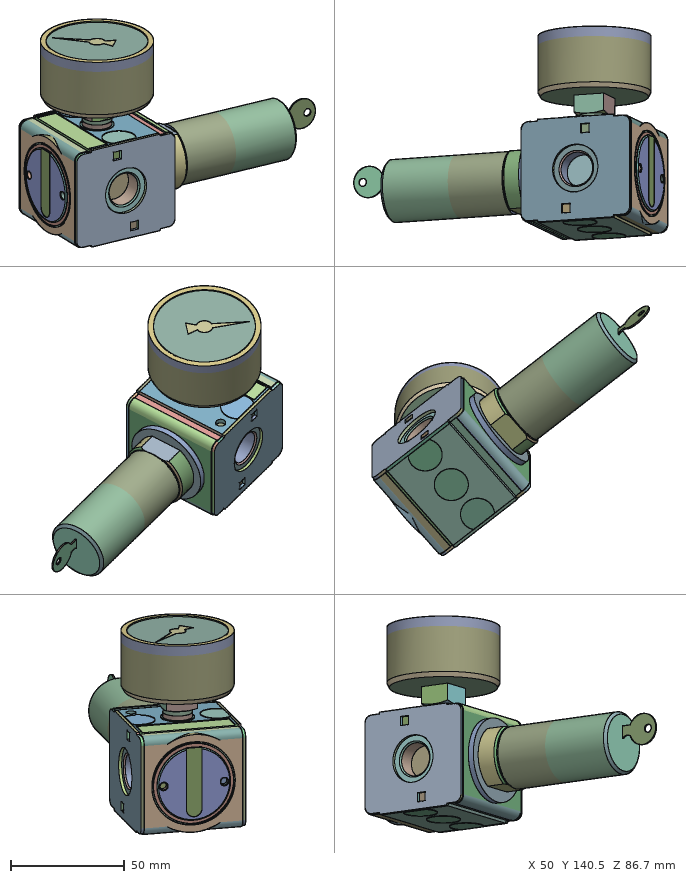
import cadquery as cq
import math


CORE_HALF_X = 22.6
CORE_HALF_Y = 26.0
CORE_HALF_Z = 22.6
CORE_FILLET = 3.7
SADDLE_HALF_Y = 17.7
SADDLE_HALF_Z = 23.2
SADDLE_SLOPE_RUN = 0.4
SADDLE_ROOT_Y = SADDLE_HALF_Y + SADDLE_SLOPE_RUN
STRIP_HALF_Z = 21.9
REAR_STRIP_END_Y = 21.6
FRONT_STRIP_END_Y = -19.1
PAD_DIAMETER = 15.0
PAD_HALF_Z = 23.5
PAD_SPACING = 18.1
LABEL_HALF_X = 21.4
LABEL_START_Y = -8.0
LABEL_DEPTH = 0.4
VENT_DIAMETER = 4.4
VENT_X = -17.8
VENT_Y = 12.4
VENT_DEPTH = 2.2
DRILL_POINT_ANGLE = 90

PLATE_THICKNESS = 1.4
PLATE_INSET = 0.4
PLATE_OUTER_X = CORE_HALF_X + PLATE_THICKNESS
PLATE_EDGE_HALF_Z = 22.2
PLATE_HALF_Z = 23.0
PORT_RING_DIAMETER = 21.4
PORT_RING_DEPTH = PLATE_THICKNESS
PORT_DIAMETER = 14.9
PORT_CHAMFER = 0.7
PORT_DEPTH = 9.8
SOCKET_SIZE = 4.1
SOCKET_DEPTH = PLATE_THICKNESS
SOCKET_Y = 4.5
SOCKET_Z = 17.7

FRONT_BOSS_RADIUS = 22.5
FRONT_BOSS_LENGTH = 8.5
GROOVE_OUTER_DIAMETER = 38.2
GROOVE_INNER_DIAMETER = 36.8
GROOVE_DEPTH = 0.7
KNOB_DIAMETER = 33.7
KNOB_FACE_Y = -26.8
KNOB_BEVEL_WIDTH = 0.5
KNOB_BEVEL_DEPTH = 0.5
GRIP_FACE_Y = -27.0
GRIP_WIDTH = 7.2
GRIP_TOP_Z = 16.7
GRIP_BOTTOM_Z = -15.0
PIN_HOLE_DIAMETER = 3.2
PIN_HOLE_RIM_DIAMETER = 4.0
PIN_HOLE_X = 13.9
PIN_HOLE_DEPTH = 2.1

FLANGE_DIAMETER = 37.7
FLANGE_END_Y = 28.7
NUT_DIAMETER = 30.0
NUT_ACROSS_FLATS = 26.0
NUT_END_Y = 38.0
NUT_CHAMFER = 0.8
BARREL_NECK_DIAMETER = 26.0
BARREL_START_Y = 38.4
BARREL_DIAMETER = 28.0
BARREL_SEAM_Y = 63.8
BARREL_END_Y = 96.0
BARREL_CHAMFER = 1.3

KEY_X = 0.3
KEY_THICKNESS = 0.7
KEY_END_Y = 113.5
KEY_HEAD_DIAMETER = 14.0
KEY_HEAD_Y = KEY_END_Y - KEY_HEAD_DIAMETER / 2
KEY_HEAD_Z = 4.9
KEY_HOLE_DIAMETER = 3.5
KEY_HOLE_Y = 109.3
NECK_TOP_Z = 7.6
NECK_HEAD_Y = 99.8
NECK_SHOULDER = 1.1
NECK_WAIST_Y = 98.6
NECK_WAIST_Z = 3.1
NECK_ROOT_Z = 1.8
NECK_ARC_START_Y = 100.5
NECK_ARC_START_Z = 2.1

GAUGE_DIAMETER = 50.0
GAUGE_TOP_Z = 63.2
BEZEL_SEAM_Z = 58.6
GAUGE_BOTTOM_Z = 36.1
GAUGE_BEVEL_HEIGHT = 2.1
GAUGE_BEVEL_WIDTH = 1.1
DIAL_DIAMETER = 45.0
DIAL_DEPTH = 0.5
STEM_SQUARE = 14.0
STEM_SQUARE_BOTTOM_Z = 27.7
STEM_CONE_DIAMETER = 14.6
STEM_CORNER_RISE = 0.8
STEM_DIAMETER = 13.0
COLLAR_DIAMETER = 13.2
COLLAR_TOP_Z = 25.6
POINTER_HEIGHT = 0.1
POINTER_ANGLE = 45
POINTER_HUB_DIAMETER = 7.3
POINTER_TIP = 20.2
NEEDLE_ROOT = 3.1
NEEDLE_ROOT_HALF = 1.33
TAIL_ROOT = 2.8
TAIL_ROOT_HALF = 1.3
TAIL_END = 7.9
TAIL_END_HALF = 3.5


def box(x0, x1, y0, y1, z0, z1):
    """Box between the given limits."""
    return cq.Workplane("XY").box(x1 - x0, y1 - y0, z1 - z0, centered=False).translate((x0, y0, z0))


def y_cylinder(diameter, y0, y1):
    """Cylinder on the lock axis from y0 to y1."""
    return cq.Workplane("XZ", origin=(0, y0, 0)).circle(diameter / 2).extrude(y0 - y1)


def z_cylinder(diameter, z0, z1):
    """Cylinder on the gauge axis from z0 to z1."""
    return cq.Workplane("XY", origin=(0, 0, z0)).circle(diameter / 2).extrude(z1 - z0)


def saddle(half_z, root_half_z, length):
    """Middle band with sloping front and rear edges, centred and running along X."""
    return (
        cq.Workplane("YZ", origin=(-length / 2, 0, 0))
        .moveTo(-SADDLE_HALF_Y, half_z)
        .lineTo(SADDLE_HALF_Y, half_z)
        .lineTo(SADDLE_ROOT_Y, root_half_z)
        .lineTo(SADDLE_ROOT_Y, -root_half_z)
        .lineTo(SADDLE_HALF_Y, -half_z)
        .lineTo(-SADDLE_HALF_Y, -half_z)
        .lineTo(-SADDLE_ROOT_Y, -root_half_z)
        .lineTo(-SADDLE_ROOT_Y, root_half_z)
        .close()
        .extrude(length)
    )


def housing_core():
    """Rounded block with a round front boss, low strips and the raised saddle."""
    half_y = CORE_HALF_Y
    half_x = CORE_HALF_X
    core = cq.Workplane("XY").box(2 * half_x, 2 * half_y, 2 * CORE_HALF_Z).edges("|X").fillet(CORE_FILLET)
    core = core.union(y_cylinder(2 * FRONT_BOSS_RADIUS, -half_y, -half_y + FRONT_BOSS_LENGTH))
    strips = ((SADDLE_HALF_Y, REAR_STRIP_END_Y), (FRONT_STRIP_END_Y, -SADDLE_HALF_Y))
    for y0, y1 in strips:
        core = core.cut(box(-half_x, half_x, y0, y1, STRIP_HALF_Z, PAD_HALF_Z))
        core = core.cut(box(-half_x, half_x, y0, y1, -PAD_HALF_Z, -STRIP_HALF_Z))
    middle = saddle(SADDLE_HALF_Z, STRIP_HALF_Z, 2 * half_x)
    label_floor_z = SADDLE_HALF_Z - LABEL_DEPTH
    label_step = box(-LABEL_HALF_X, LABEL_HALF_X, -SADDLE_ROOT_Y, LABEL_START_Y, label_floor_z, SADDLE_HALF_Z)
    return core.union(middle).cut(label_step)


def round_pads():
    """Pads on the top and bottom; the outer ones are cut off at the end plates."""
    pads = (
        cq.Workplane("XY", origin=(0, 0, -PAD_HALF_Z))
        .pushPoints([(-PAD_SPACING, 0), (0, 0), (PAD_SPACING, 0)])
        .circle(PAD_DIAMETER / 2)
        .extrude(2 * PAD_HALF_Z)
    )
    return pads.intersect(cq.Workplane("XY").box(2 * CORE_HALF_X, 2 * CORE_HALF_Y, 2 * PAD_HALF_Z))


def end_plate(side):
    """Plate with rounded corners and a raised middle, on the -X (side -1) or +X (side 1) end."""
    half_y = CORE_HALF_Y - PLATE_INSET
    x_middle = side * (CORE_HALF_X + PLATE_THICKNESS / 2)
    plate = cq.Workplane("XY").box(PLATE_THICKNESS, 2 * half_y, 2 * PLATE_EDGE_HALF_Z)
    plate = plate.edges("|X").fillet(CORE_FILLET - PLATE_INSET)
    middle = saddle(PLATE_HALF_Z, PLATE_EDGE_HALF_Z, PLATE_THICKNESS)
    return plate.union(middle).translate((x_middle, 0, 0))


def port_cutter(side):
    """Ring recess, chamfered blind bore and two square sockets in one end plate."""
    ring_floor = PLATE_OUTER_X - PORT_RING_DEPTH
    bore_radius = PORT_DIAMETER / 2
    ring_radius = PORT_RING_DIAMETER / 2
    bore = (
        cq.Workplane("XY")
        .moveTo(PLATE_OUTER_X - PORT_DEPTH, 0)
        .lineTo(PLATE_OUTER_X - PORT_DEPTH, bore_radius)
        .lineTo(ring_floor - PORT_CHAMFER, bore_radius)
        .lineTo(ring_floor, bore_radius + PORT_CHAMFER)
        .lineTo(ring_floor, ring_radius)
        .lineTo(PLATE_OUTER_X, ring_radius)
        .lineTo(PLATE_OUTER_X, 0)
        .close()
        .revolve(360, (0, 0, 0), (1, 0, 0))
    )
    sockets = (
        cq.Workplane("YZ", origin=(PLATE_OUTER_X - SOCKET_DEPTH, 0, 0))
        .pushPoints([(-SOCKET_Y, SOCKET_Z), (SOCKET_Y, -SOCKET_Z)])
        .rect(SOCKET_SIZE, SOCKET_SIZE)
        .extrude(SOCKET_DEPTH)
    )
    cutter = bore.union(sockets)
    return cutter if side > 0 else cutter.mirror("YZ")


def vent_cutter():
    """Small blind hole in the top with a conical drill point."""
    radius = VENT_DIAMETER / 2
    floor_z = SADDLE_HALF_Z - VENT_DEPTH
    tip_z = floor_z - radius / math.tan(math.radians(DRILL_POINT_ANGLE / 2))
    return (
        cq.Workplane("XZ")
        .polyline([(0, tip_z), (radius, floor_z), (radius, SADDLE_HALF_Z), (0, SADDLE_HALF_Z)])
        .close()
        .revolve(360, (0, 0, 0), (0, 1, 0))
        .translate((VENT_X, VENT_Y, 0))
    )


def front_groove():
    """Thin ring cut into the front face around the knob."""
    groove_end = -CORE_HALF_Y + GROOVE_DEPTH
    outer = y_cylinder(GROOVE_OUTER_DIAMETER, -CORE_HALF_Y, groove_end)
    return outer.cut(y_cylinder(GROOVE_INNER_DIAMETER, -CORE_HALF_Y, groove_end))


def knob():
    """Round knob with a slightly raised grip bar."""
    radius = KNOB_DIAMETER / 2
    disc = (
        cq.Workplane("XY")
        .moveTo(0, -CORE_HALF_Y)
        .lineTo(radius, -CORE_HALF_Y)
        .lineTo(radius, KNOB_FACE_Y + KNOB_BEVEL_DEPTH)
        .lineTo(radius - KNOB_BEVEL_WIDTH, KNOB_FACE_Y)
        .lineTo(0, KNOB_FACE_Y)
        .close()
        .revolve(360, (0, 0, 0), (0, 1, 0))
    )
    half_width = GRIP_WIDTH / 2
    grip = (
        cq.Workplane("XZ", origin=(0, GRIP_FACE_Y, 0))
        .moveTo(-half_width, GRIP_TOP_Z)
        .lineTo(half_width, GRIP_TOP_Z)
        .lineTo(half_width, GRIP_BOTTOM_Z + half_width)
        .threePointArc((0, GRIP_BOTTOM_Z), (-half_width, GRIP_BOTTOM_Z + half_width))
        .close()
        .extrude(GRIP_FACE_Y + CORE_HALF_Y)
    )
    return disc.union(grip)


def pin_hole_cutter(x):
    """Blind hole in the knob face with a 45 degree countersink."""
    radius = PIN_HOLE_DIAMETER / 2
    rim_radius = PIN_HOLE_RIM_DIAMETER / 2
    floor_y = KNOB_FACE_Y + PIN_HOLE_DEPTH
    return (
        cq.Workplane("XY")
        .moveTo(0, KNOB_FACE_Y)
        .lineTo(rim_radius, KNOB_FACE_Y)
        .lineTo(radius, KNOB_FACE_Y + rim_radius - radius)
        .lineTo(radius, floor_y)
        .lineTo(0, floor_y)
        .close()
        .revolve(360, (0, 0, 0), (0, 1, 0))
        .translate((x, 0, 0))
    )


def lock_nut():
    """Round nut with flats on its top and bottom and a chamfered rear rim."""
    nut = y_cylinder(NUT_DIAMETER, FLANGE_END_Y, NUT_END_Y).faces(">Y").chamfer(NUT_CHAMFER)
    half_flats = NUT_ACROSS_FLATS / 2
    flats = box(-NUT_DIAMETER, NUT_DIAMETER, FLANGE_END_Y, NUT_END_Y, -half_flats, half_flats)
    return nut.intersect(flats)


def key():
    """Flat key standing in the end of the lock barrel."""
    left = KEY_X - KEY_THICKNESS / 2
    head = (
        cq.Workplane("YZ", origin=(left, 0, 0))
        .center(KEY_HEAD_Y, KEY_HEAD_Z)
        .circle(KEY_HEAD_DIAMETER / 2)
        .extrude(KEY_THICKNESS)
    )
    neck = (
        cq.Workplane("YZ", origin=(left, 0, 0))
        .moveTo(BARREL_END_Y, NECK_TOP_Z)
        .lineTo(NECK_HEAD_Y, NECK_TOP_Z)
        .lineTo(NECK_HEAD_Y + NECK_SHOULDER, NECK_TOP_Z + NECK_SHOULDER)
        .lineTo(KEY_HEAD_Y, KEY_HEAD_Z)
        .lineTo(NECK_ARC_START_Y, NECK_ARC_START_Z)
        .threePointArc((NECK_WAIST_Y, NECK_WAIST_Z), (BARREL_END_Y, NECK_ROOT_Z))
        .close()
        .extrude(KEY_THICKNESS)
    )
    hole = (
        cq.Workplane("YZ", origin=(left, 0, 0))
        .center(KEY_HOLE_Y, KEY_HEAD_Z)
        .circle(KEY_HOLE_DIAMETER / 2)
        .extrude(KEY_THICKNESS)
    )
    return head.union(neck).cut(hole)


def regulator():
    """Regulator housing with its knob, lock barrel and key as one solid."""
    body = housing_core().union(round_pads())
    for side in (-1, 1):
        body = body.union(end_plate(side)).cut(port_cutter(side))
    body = body.cut(vent_cutter()).cut(front_groove()).union(knob())
    for x in (-PIN_HOLE_X, PIN_HOLE_X):
        body = body.cut(pin_hole_cutter(x))
    body = body.union(y_cylinder(FLANGE_DIAMETER, CORE_HALF_Y, FLANGE_END_Y)).union(lock_nut())
    neck = y_cylinder(BARREL_NECK_DIAMETER, NUT_END_Y, BARREL_START_Y)
    front_barrel = y_cylinder(BARREL_DIAMETER, BARREL_START_Y, BARREL_SEAM_Y)
    rear_barrel = y_cylinder(BARREL_DIAMETER, BARREL_SEAM_Y, BARREL_END_Y).faces(">Y").chamfer(BARREL_CHAMFER)
    body = body.union(neck).union(front_barrel)
    return body.union(rear_barrel.union(key()), clean=False)


def gauge_case_and_bezel():
    """Round case with a bevelled bottom, and the bezel with its recessed dial and pointer."""
    radius = GAUGE_DIAMETER / 2
    case = (
        cq.Workplane("XZ")
        .moveTo(0, GAUGE_BOTTOM_Z)
        .lineTo(radius - GAUGE_BEVEL_WIDTH, GAUGE_BOTTOM_Z)
        .lineTo(radius, GAUGE_BOTTOM_Z + GAUGE_BEVEL_HEIGHT)
        .lineTo(radius, BEZEL_SEAM_Z)
        .lineTo(0, BEZEL_SEAM_Z)
        .close()
        .revolve(360, (0, 0, 0), (0, 1, 0))
    )
    bezel = z_cylinder(GAUGE_DIAMETER, BEZEL_SEAM_Z, GAUGE_TOP_Z)
    bezel = bezel.cut(z_cylinder(DIAL_DIAMETER, GAUGE_TOP_Z - DIAL_DEPTH, GAUGE_TOP_Z)).union(pointer())
    return case, bezel


def pointer():
    """Needle, hub and flared tail, slightly raised on the dial."""
    dial = cq.Workplane("XY", origin=(0, 0, GAUGE_TOP_Z - DIAL_DEPTH))
    hub = dial.circle(POINTER_HUB_DIAMETER / 2).extrude(POINTER_HEIGHT)
    needle = (
        dial.polyline([(0, NEEDLE_ROOT_HALF), (-NEEDLE_ROOT, NEEDLE_ROOT_HALF), (-POINTER_TIP, 0),
                       (-NEEDLE_ROOT, -NEEDLE_ROOT_HALF), (0, -NEEDLE_ROOT_HALF)])
        .close()
        .extrude(POINTER_HEIGHT)
    )
    tail = (
        dial.polyline([(0, TAIL_ROOT_HALF), (TAIL_ROOT, TAIL_ROOT_HALF), (TAIL_END, TAIL_END_HALF),
                       (TAIL_END, -TAIL_END_HALF), (TAIL_ROOT, -TAIL_ROOT_HALF), (0, -TAIL_ROOT_HALF)])
        .close()
        .extrude(POINTER_HEIGHT)
    )
    return hub.union(needle).union(tail).rotate((0, 0, 0), (0, 0, 1), POINTER_ANGLE)


def gauge_stem():
    """Square wrench section with corners cut by a cone, above a round stem and collar."""
    square_height = GAUGE_BOTTOM_Z - STEM_SQUARE_BOTTOM_Z
    square = cq.Workplane("XY", origin=(0, 0, STEM_SQUARE_BOTTOM_Z)).rect(STEM_SQUARE, STEM_SQUARE)
    square = square.extrude(square_height)
    half_diagonal = STEM_SQUARE / math.sqrt(2)
    cone_top_z = STEM_SQUARE_BOTTOM_Z + STEM_CORNER_RISE
    cone = (
        cq.Workplane("XZ")
        .polyline([(0, STEM_SQUARE_BOTTOM_Z), (STEM_CONE_DIAMETER / 2, STEM_SQUARE_BOTTOM_Z),
                   (half_diagonal, cone_top_z), (half_diagonal, GAUGE_BOTTOM_Z), (0, GAUGE_BOTTOM_Z)])
        .close()
        .revolve(360, (0, 0, 0), (0, 1, 0))
    )
    round_stem = z_cylinder(STEM_DIAMETER, COLLAR_TOP_Z, STEM_SQUARE_BOTTOM_Z)
    collar = z_cylinder(COLLAR_DIAMETER, PAD_HALF_Z, COLLAR_TOP_Z)
    return square.intersect(cone).union(round_stem).union(collar)


def pressure_gauge():
    """Gauge standing on the middle pad of the housing top."""
    case, bezel = gauge_case_and_bezel()
    return case.union(gauge_stem()).union(bezel, clean=False)


result = cq.Compound.makeCompound([regulator().val(), pressure_gauge().val()])